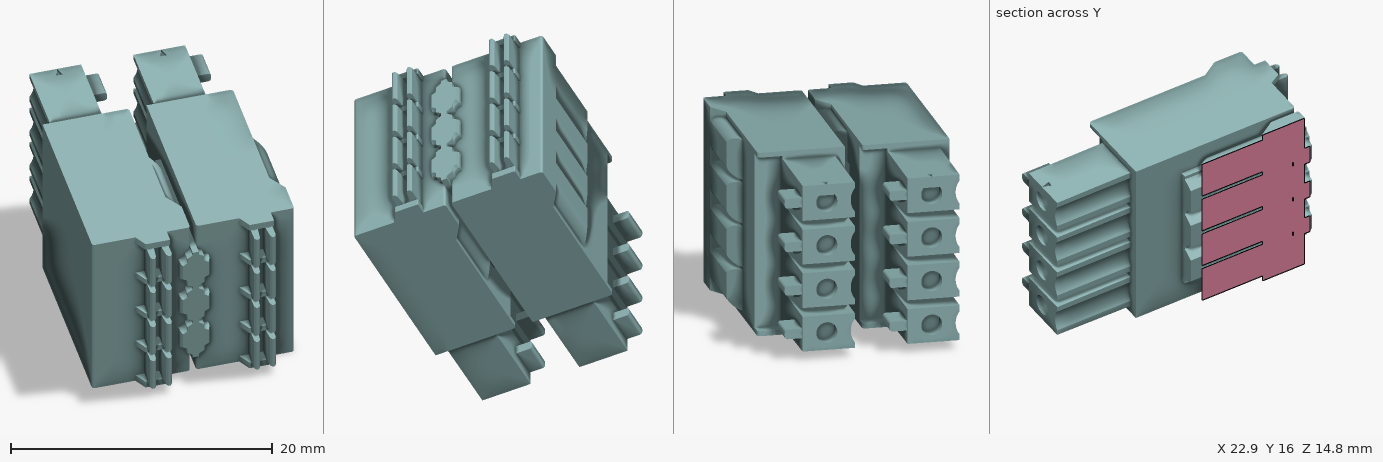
import cadquery as cq
import math


total_length = 22.9
total_height = 14.75
module_pitch = 8.25
pole_count = 4
pole_pitch = 3.5
mid_z = total_height / 2
pole_z = [mid_z + (i - (pole_count - 1) / 2) * pole_pitch for i in range(pole_count)]
gap_z = [z + pole_pitch / 2 for z in pole_z[:-1]]
overlap = 0.23

front_x = 6.6
rear_x = 20.9
body_width = 6.85
full_width = 7.76
slope_length = 1.4
ramp_start_x = 17.05
lobe_start_x = 11.6
lobe_half_width = 1.63
lobe_round = 0.98
corner_round = 0.25
rear_round = 0.2

recess_floor_y = 4.88
recess_depth = 0.96
recess_round = 0.35
end_wall = 0.4

plug_bottom_y = 0.78
plug_top_y = 4.88
plug_tip_height = 2.8
plug_root_height = 2.93
plug_hole_y = 2.98
plug_hole_radius = 0.82
plug_hole_depth = 1.0
flat_above_centre = 0.53
groove_chord = 1.88
groove_depth = 0.32
key_start_x = 0.23
key_end_x = 2.55
key_reach = 1.35
key_thickness = 0.78
key_round = 0.23

mark_length = 0.73
mark_width = 0.5
plug_mark_depth = 0.2
body_mark_depth = 0.11

spacer_end_x = 21.87
spacer_top_y = 5.9
spacer_tip_y = 3.96
spacer_root_y = 3.41
spacer_round = 0.1
end_spacer_thickness = 0.57
inner_spacer_thickness = 0.5
blade_height = 2.85
blade_outer_y = (5.82, 4.1)
blade_root_thickness = 0.55
blade_tip_thickness = 0.45
blade_tip_length = 0.2
blade_tip_bevel = 0.14

plate_start_x = 10.7
plate_end_x = 21.65
plate_half_height = 5.38
gap_bottom_y = full_width
gap_top_y = module_pitch
tooth_base = 1.6
tooth_tip = 1.05
tooth_depth = 0.87
knob_joint_depth = 0.44
knob_depth = 0.95
knob_tip = 0.82
knob_straight_end_x = 21.32
knob_taper = 25.0


def box(x, y, z):
    """Box from (start, end) pairs along the three axes."""
    size = [end - start for start, end in (x, y, z)]
    return cq.Workplane("XY").box(*size, centered=False).translate((x[0], y[0], z[0]))


def z_prism(points, z_start, height):
    """Prism along Z from an XY outline."""
    return cq.Workplane("XY", origin=(0, 0, z_start)).polyline(points).close().extrude(height)


def ramp_prism(x_start, z_start, height):
    """Raised rear part of the housing, with a ramp that begins at x_start."""
    outline = [
        (x_start, body_width),
        (x_start + slope_length, full_width),
        (rear_x, full_width),
        (rear_x, body_width - overlap),
        (x_start, body_width - overlap),
    ]
    return z_prism(outline, z_start, height)


def lobe(z):
    """Raised rib over one pole with rounded flanks and a sloped front end."""
    rise = full_width - body_width
    mid_y = body_width + rise / 2
    centre = lobe_half_width - lobe_round

    def half_width(height):
        return centre + math.sqrt(lobe_round**2 - height**2)

    profile = (
        cq.Workplane("YZ", origin=(lobe_start_x, 0, z))
        .moveTo(body_width - overlap, -lobe_half_width)
        .lineTo(body_width, -lobe_half_width)
        .threePointArc((mid_y, -half_width(rise / 2)), (full_width, -half_width(rise)))
        .lineTo(full_width, half_width(rise))
        .threePointArc((mid_y, half_width(rise / 2)), (body_width, lobe_half_width))
        .lineTo(body_width - overlap, lobe_half_width)
        .close()
        .extrude(rear_x - lobe_start_x - overlap)
    )
    return profile.intersect(ramp_prism(lobe_start_x, z - lobe_half_width, 2 * lobe_half_width))


def front_recess():
    """Cutter for the notch along the +Y front edge, rounded in its inner corner."""
    cutter = box(
        (front_x - overlap, front_x + recess_depth),
        (recess_floor_y, body_width + overlap),
        (end_wall, total_height - end_wall),
    )
    return cutter.edges("|Z and >X and <Y").fillet(recess_round)


def body_marks():
    """Cutters for the arrows on the front face between the poles."""
    cutters = cq.Workplane("XY")
    for z in gap_z:
        arrow = (
            cq.Workplane("YZ", origin=(front_x, 0, z))
            .polyline([
                (plug_hole_y, 0),
                (plug_hole_y + mark_length, mark_width / 2),
                (plug_hole_y + mark_length, -mark_width / 2),
            ])
            .close()
            .extrude(body_mark_depth)
        )
        cutters = cutters.add(arrow)
    return cutters.combine()


def housing():
    """Body with rounded vertical corners, raised rear part, lobes and front recess."""
    body = box((front_x, rear_x), (0, body_width), (0, total_height))
    body = body.edges("|Z and <X and >Y").fillet(corner_round)
    body = body.union(ramp_prism(ramp_start_x, 0, total_height))
    body = body.edges("|Z and >X").fillet(rear_round)
    for z in pole_z:
        body = body.union(lobe(z))
    return body.cut(front_recess()).cut(body_marks())


def plug(z):
    """One drafted plug with a grooved -Y side, a wire hole and a coding key on its +Y side."""
    block = (
        cq.Workplane("XZ", origin=(0, plug_top_y, z))
        .polyline([
            (0, -plug_tip_height / 2),
            (front_x, -plug_root_height / 2),
            (front_x + overlap, -plug_root_height / 2),
            (front_x + overlap, plug_root_height / 2),
            (front_x, plug_root_height / 2),
            (0, plug_tip_height / 2),
        ])
        .close()
        .extrude(plug_top_y - plug_bottom_y)
    )
    groove = (
        cq.Workplane("YZ", origin=(0, 0, z))
        .moveTo(plug_bottom_y, -groove_chord / 2)
        .threePointArc((plug_bottom_y + groove_depth, 0), (plug_bottom_y, groove_chord / 2))
        .close()
        .extrude(front_x)
    )
    hole = cq.Workplane("YZ", origin=(0, plug_hole_y, z)).circle(plug_hole_radius).extrude(plug_hole_depth)
    if z == pole_z[-1]:
        hole = hole.intersect(
            box(
                (0, plug_hole_depth),
                (plug_bottom_y, plug_top_y),
                (z - plug_hole_radius, z + flat_above_centre),
            )
        )
    key = box(
        (key_start_x, key_end_x),
        (plug_top_y - overlap, plug_top_y + key_reach),
        (z - key_thickness / 2, z + key_thickness / 2),
    ).edges("|X and >Y").fillet(key_round)
    return block.union(key).cut(groove).cut(hole)


def plug_mark():
    """Cutter for the arrow on the upper face of the uppermost plug."""
    top_z = pole_z[-1] + plug_root_height / 2
    floor_z = pole_z[-1] + plug_tip_height / 2 - plug_mark_depth
    arrow = [
        (0, plug_hole_y),
        (mark_length, plug_hole_y + mark_width / 2),
        (mark_length, plug_hole_y - mark_width / 2),
    ]
    return z_prism(arrow, floor_z, top_z - floor_z)


def spacer(z_start, thickness):
    """Rear standoff with one slanted side."""
    outline = [
        (rear_x - overlap, spacer_root_y),
        (rear_x, spacer_root_y),
        (spacer_end_x, spacer_tip_y),
        (spacer_end_x, spacer_top_y),
        (rear_x - overlap, spacer_top_y),
    ]
    return z_prism(outline, z_start, thickness).edges("|Z and >X").fillet(spacer_round)


def blade(z, outer_y, inward):
    """Contact blade; its inner flank tapers toward a bevelled tip. inward is +1 or -1 along Y."""
    bevel_x = total_length - blade_tip_length
    outline = [
        (rear_x - overlap, outer_y),
        (bevel_x, outer_y),
        (total_length, outer_y + inward * blade_tip_bevel),
        (total_length, outer_y + inward * (blade_tip_thickness - blade_tip_bevel)),
        (bevel_x, outer_y + inward * blade_tip_thickness),
        (spacer_end_x, outer_y + inward * blade_root_thickness),
        (rear_x - overlap, outer_y + inward * blade_root_thickness),
    ]
    return z_prism(outline, z - blade_height / 2, blade_height)


def module():
    """One complete connector module."""
    part = housing()
    for z in pole_z:
        part = part.union(plug(z))
        part = part.union(blade(z, blade_outer_y[0], -1))
        part = part.union(blade(z, blade_outer_y[1], 1))
    part = part.union(spacer(0, end_spacer_thickness))
    part = part.union(spacer(total_height - end_spacer_thickness, end_spacer_thickness))
    for z in gap_z:
        part = part.union(spacer(z - inner_spacer_thickness / 2, inner_spacer_thickness))
    return part.cut(plug_mark())


def half_tooth_width(depth):
    """Half width of a straight-flanked tooth at a distance from the plate."""
    return tooth_base - (tooth_base - tooth_tip) * depth / tooth_depth


def straight_tooth(z, depth, x_end):
    """Straight-flanked tooth on the -Y side of the plate."""
    tip = half_tooth_width(depth)
    return (
        cq.Workplane("YZ", origin=(plate_start_x, gap_bottom_y, z))
        .polyline([
            (overlap, -tooth_base),
            (0, -tooth_base),
            (-depth, -tip),
            (-depth, tip),
            (0, tooth_base),
            (overlap, tooth_base),
        ])
        .close()
        .extrude(x_end - plate_start_x)
    )


def knob_outline(z, x):
    """Rear end of a tooth with concave flanks, on the -Y side of the plate."""
    joint = half_tooth_width(knob_joint_depth)
    run = knob_depth - knob_joint_depth
    drop = joint - knob_tip
    sag = 1 - math.sqrt(0.5)
    mid_depth = knob_joint_depth + run * sag
    mid_width = knob_tip + drop * sag
    return (
        cq.Workplane("YZ", origin=(x, gap_bottom_y, z))
        .moveTo(0, -joint)
        .lineTo(-knob_joint_depth, -joint)
        .threePointArc((-mid_depth, -mid_width), (-knob_depth, -knob_tip))
        .lineTo(-knob_depth, knob_tip)
        .threePointArc((-mid_depth, mid_width), (-knob_joint_depth, joint))
        .lineTo(0, joint)
        .close()
    )


def dovetail_plate():
    """Plate in the gap between the modules, with a tooth pair between each two poles."""
    straight_length = knob_straight_end_x - rear_x + overlap
    tip_length = plate_end_x - knob_straight_end_x
    teeth = cq.Workplane("XY")
    for z in gap_z:
        tooth = straight_tooth(z, tooth_depth, rear_x)
        tooth = tooth.union(straight_tooth(z, knob_joint_depth, plate_end_x))
        knob = knob_outline(z, rear_x - overlap).extrude(straight_length)
        tip = knob_outline(z, knob_straight_end_x).extrude(tip_length, taper=knob_taper)
        teeth = teeth.add(tooth.union(knob).union(tip))
    teeth = teeth.combine()
    mid_gap_y = (gap_bottom_y + gap_top_y) / 2
    opposite_teeth = teeth.mirror("XZ", (0, mid_gap_y, 0))
    plate = box(
        (plate_start_x, plate_end_x),
        (gap_bottom_y, gap_top_y),
        (mid_z - plate_half_height, mid_z + plate_half_height),
    )
    return plate.union(teeth).union(opposite_teeth)


lower_module = module()
upper_module = lower_module.translate((0, module_pitch, 0))
result = lower_module.union(upper_module).union(dovetail_plate())